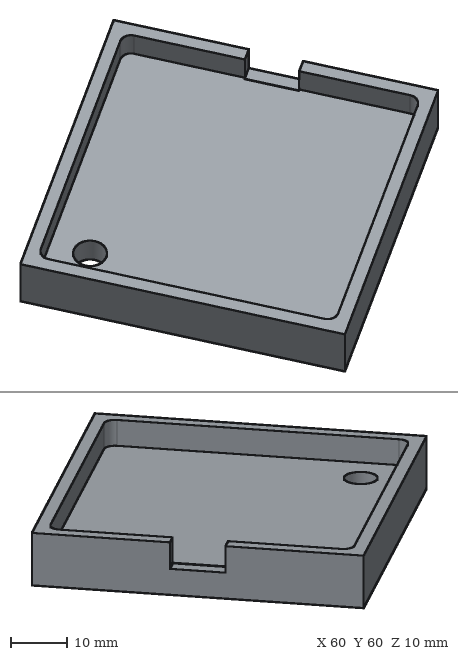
import cadquery as cq

side = 60.0
height = 10.0
wall = 2.5
floor_thickness = 5.1
pocket_corner_radius = 2.0

notch_width = 10.0
notch_bottom = 5.0
notch_overrun = 0.25

hole_diameter = 6.0
hole_edge_distance = 10.0


def make_pocket():
    pocket_side = side - 2 * wall
    pocket = cq.Workplane("XY").workplane(offset=floor_thickness)
    pocket = pocket.rect(pocket_side, pocket_side).extrude(height - floor_thickness)
    return pocket.edges("|Z").fillet(pocket_corner_radius)


def make_notch():
    notch_depth = wall + notch_overrun
    notch = cq.Workplane("XY").box(
        notch_width, notch_depth, height - notch_bottom, centered=(True, False, False)
    )
    return notch.translate((0, side / 2 - notch_depth, notch_bottom))


def make_floor_hole():
    hole_center = hole_edge_distance - side / 2
    hole = cq.Workplane("XY").center(hole_center, hole_center)
    return hole.circle(hole_diameter / 2).extrude(height)


tray = cq.Workplane("XY").box(side, side, height, centered=(True, True, False))
result = tray.cut(make_pocket()).cut(make_notch()).cut(make_floor_hole())